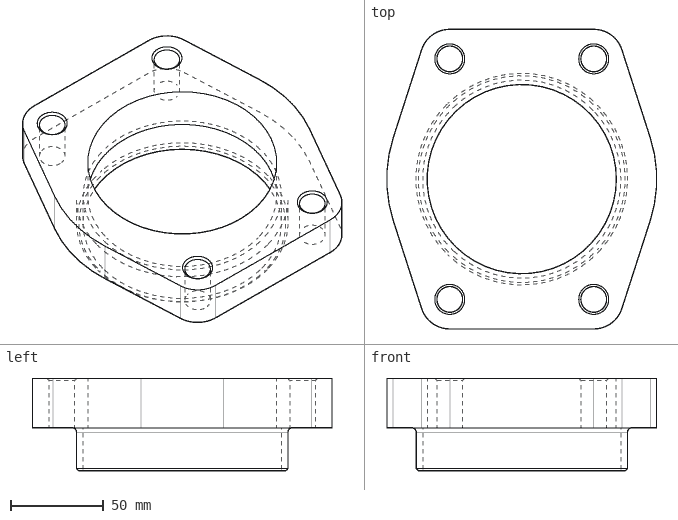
import cadquery as cq
import math

flange_length = 162.0
flange_width = 146.0
flange_thickness = 26.7
corner_radius = 16.0
body_radius = flange_width / 2

hole_x = 38.9
hole_y = flange_length / 2 - corner_radius
hole_diameter = 13.8
hole_mouth_diameter = 16.2
countersink_angle = 90

total_height = 50.0
collar_diameter = 114.4
collar_height = total_height - flange_thickness
collar_chamfer = 1.3
root_fillet = 2.5

bore_diameter = 102.0
lower_bore_diameter = 107.1


def make_flange():
    center_distance = math.hypot(hole_x, hole_y)
    center_angle = math.atan2(hole_y, hole_x)
    tangent_angle = center_angle - math.acos((body_radius - corner_radius) / center_distance)
    normal_x = math.cos(tangent_angle)
    normal_y = math.sin(tangent_angle)
    body_x = body_radius * normal_x
    body_y = body_radius * normal_y
    corner_x = hole_x + corner_radius * normal_x
    corner_y = hole_y + corner_radius * normal_y

    middle_angle = (tangent_angle + math.pi / 2) / 2
    middle_x = hole_x + corner_radius * math.cos(middle_angle)
    middle_y = hole_y + corner_radius * math.sin(middle_angle)
    end_y = flange_length / 2

    return (
        cq.Workplane("XY")
        .moveTo(body_x, -body_y)
        .threePointArc((body_radius, 0), (body_x, body_y))
        .lineTo(corner_x, corner_y)
        .threePointArc((middle_x, middle_y), (hole_x, end_y))
        .lineTo(-hole_x, end_y)
        .threePointArc((-middle_x, middle_y), (-corner_x, corner_y))
        .lineTo(-body_x, body_y)
        .threePointArc((-body_radius, 0), (-body_x, -body_y))
        .lineTo(-corner_x, -corner_y)
        .threePointArc((-middle_x, -middle_y), (-hole_x, -end_y))
        .lineTo(hole_x, -end_y)
        .threePointArc((middle_x, -middle_y), (corner_x, -corner_y))
        .close()
        .extrude(flange_thickness)
    )


def make_collar():
    radius = collar_diameter / 2
    fillet_center_x = radius + root_fillet
    arc_x = fillet_center_x - root_fillet * math.cos(math.pi / 4)
    arc_z = root_fillet * math.sin(math.pi / 4) - root_fillet
    return (
        cq.Workplane("XZ")
        .lineTo(fillet_center_x, 0)
        .threePointArc((arc_x, arc_z), (radius, -root_fillet))
        .lineTo(radius, collar_chamfer - collar_height)
        .lineTo(radius - collar_chamfer, -collar_height)
        .lineTo(0, -collar_height)
        .close()
        .revolve(360, (0, 0, 0), (0, 1, 0))
    )


def cut_bore(part):
    upper = cq.Workplane("XY").circle(bore_diameter / 2).extrude(flange_thickness)
    lower = cq.Workplane("XY").circle(lower_bore_diameter / 2).extrude(-collar_height)
    return part.cut(upper).cut(lower)


def cut_corner_holes(part):
    return (
        part.faces(">Z")
        .workplane(origin=(0, 0, 0))
        .rect(2 * hole_x, 2 * hole_y, forConstruction=True)
        .vertices()
        .cskHole(hole_diameter, hole_mouth_diameter, countersink_angle)
    )


blank = make_flange().union(make_collar())
result = cut_corner_holes(cut_bore(blank))